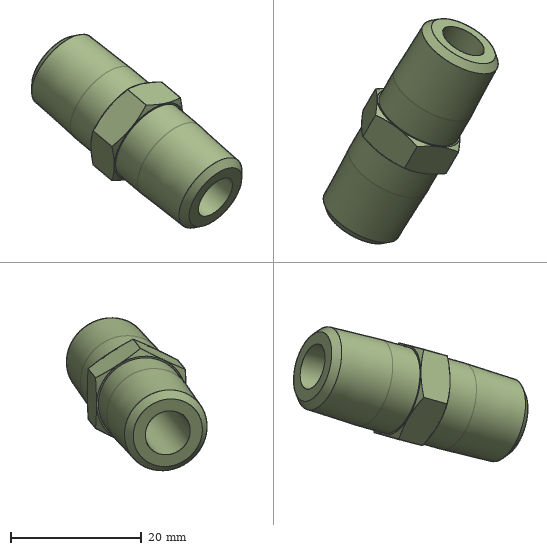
import cadquery as cq
import math

total_length = 35.56
bore_diameter = 7.137

hex_sides = 6
hex_across_flats = 14.29
hex_width = 5.3
hex_chamfer_angle = 25.0
hex_face_diameter = 14.25

shank_diameter = 13.716
taper_length = 10.2
taper_on_diameter = 1 / 16
end_chamfer_length = 1.13
end_face_diameter = 11.0

half_length = total_length / 2
half_hex_width = hex_width / 2
hex_across_corners = hex_across_flats / math.cos(math.pi / hex_sides)
taper_start = half_length - taper_length
taper_end = half_length - end_chamfer_length
taper_end_diameter = shank_diameter - (taper_end - taper_start) * taper_on_diameter


def revolve_about_x(half_profile):
    """Revolve (x, radius) points for x > 0, mirrored to x < 0, about the X axis."""
    mirrored = [(-x, radius) for x, radius in reversed(half_profile)]
    end_x = half_profile[-1][0]
    outline = [(-end_x, 0)] + mirrored + half_profile + [(end_x, 0)]
    return cq.Workplane("XZ").polyline(outline).close().revolve(360, (0, 0, 0), (1, 0, 0))


def make_threaded_body():
    """Both tapered ends and the straight shanks between them."""
    return revolve_about_x([
        (taper_start, shank_diameter / 2),
        (taper_end, taper_end_diameter / 2),
        (half_length, end_face_diameter / 2),
    ])


def make_hex():
    """Hexagonal prism with its corners turned conically at both ends."""
    prism = (
        cq.Workplane("YZ")
        .polygon(hex_sides, hex_across_corners)
        .extrude(half_hex_width, both=True)
        .rotate((0, 0, 0), (1, 0, 0), 90)
    )
    corner_radius = hex_across_corners / 2
    face_radius = hex_face_diameter / 2
    chamfer_depth = (corner_radius - face_radius) * math.tan(math.radians(hex_chamfer_angle))
    turned_envelope = revolve_about_x([
        (half_hex_width - chamfer_depth, corner_radius),
        (half_hex_width, face_radius),
    ])
    return prism.intersect(turned_envelope)


def make_bore():
    """Straight passage through the whole part."""
    return cq.Workplane("YZ").circle(bore_diameter / 2).extrude(half_length, both=True)


result = make_threaded_body().union(make_hex()).cut(make_bore())